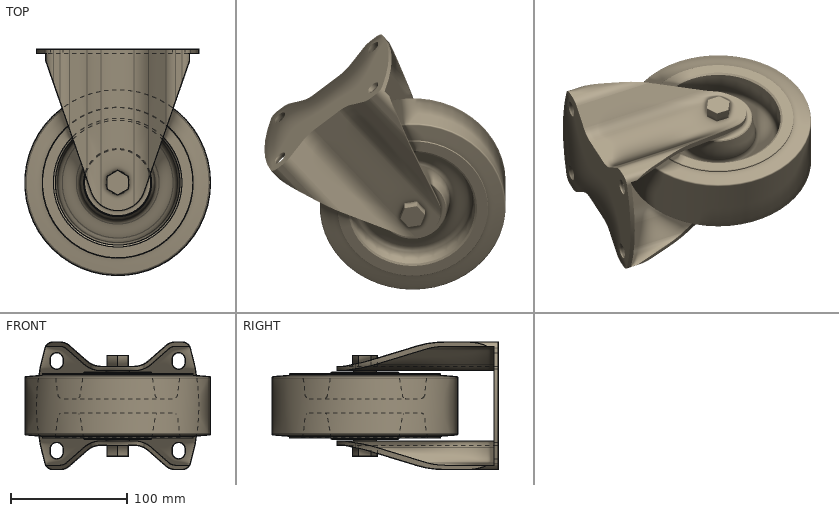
import cadquery as cq
import math


plate_top_y = 115.0
plate_thickness = 4.0
plate_half_width = 70.0
plate_half_height = 55.0
plate_end_half_width = 60.9
corner_radius = 7.5
slot_width = 11.0
slot_height = 14.0
slot_x = 52.5
slot_z = 38.6

sheet_thickness = 3.8
leg_inner_z = 30.2
leg_outer_z = leg_inner_z + sheet_thickness
trough_half_width = 14.2
lower_bend_radius = 18.5
upper_bend_radius = 12.3
flank_angle = math.radians(41.3)
leg_half_width = 62.0
taper_start_y = 105.0
tip_radius = 24.1

axle_diameter = 20.0
hex_across_flats = 18.5
hex_corner_angle = 30
hex_top_z = 43.5

wheel_radius = 80.0
tread_edge_z = 25.2
tread_edge_round = 1.3
rim_radius = 65.0
tread_inner_z = 26.3
rim_z = 27.8
rim_chamfer = 0.3
bowl_mouth_radius = 55.4
bowl_lip_radius = 53.7
bowl_lip_depth = 1.0
bowl_wall_foot_radius = 51.6
bowl_floor_radius = 47.7
bowl_floor_z = 6.0
hub_floor_radius = 35.7
hub_wall_foot_radius = 32.3
foot_fillet_height = 3.6
hub_top_radius = 29.3
hub_chamfer = 0.8
hub_z = 29.0


def bent_edge(sketch, offset):
    """Draw the +Z edge of the leg section from -X to +X, shifted inward by offset.

    Starts at the left end of the left crest and stops at the right end of the right one.
    """
    lower = lower_bend_radius + offset
    upper = upper_bend_radius - offset
    crest_z = plate_half_height - offset
    floor_z = leg_outer_z - offset
    sine = math.sin(flank_angle)
    cosine = math.cos(flank_angle)
    half_sine = math.sin(flank_angle / 2)
    half_cosine = math.cos(flank_angle / 2)

    bend_rise = (lower_bend_radius + upper_bend_radius) * (1 - cosine)
    flank_rise = plate_half_height - leg_outer_z - bend_rise
    flank_run = flank_rise / math.tan(flank_angle)
    crest_x = trough_half_width + (lower_bend_radius + upper_bend_radius) * sine + flank_run

    crest = (crest_x, crest_z)
    crest_mid = (crest_x - upper * half_sine, crest_z - upper * (1 - half_cosine))
    flank_top = (crest_x - upper * sine, crest_z - upper * (1 - cosine))
    flank_foot = (trough_half_width + lower * sine, floor_z + lower * (1 - cosine))
    floor_mid = (trough_half_width + lower * half_sine, floor_z + lower * (1 - half_cosine))
    floor = (trough_half_width, floor_z)

    def left(point):
        return (-point[0], point[1])

    return (
        sketch.lineTo(*left(crest))
        .threePointArc(left(crest_mid), left(flank_top))
        .lineTo(*left(flank_foot))
        .threePointArc(left(floor_mid), left(floor))
        .lineTo(*floor)
        .threePointArc(floor_mid, flank_foot)
        .lineTo(*flank_top)
        .threePointArc(crest_mid, crest)
    )


def xz_sketch():
    """Sketch plane at the outer plate face; extrusion runs toward -Y."""
    return cq.Workplane("XZ", origin=(0, plate_top_y, 0))


def bracket_blank(length):
    """Prism over the bowed rectangle with rounded corners that bounds plate and legs."""
    blank = (
        xz_sketch()
        .moveTo(-plate_end_half_width, plate_half_height)
        .lineTo(plate_end_half_width, plate_half_height)
        .threePointArc((plate_half_width, 0), (plate_end_half_width, -plate_half_height))
        .lineTo(-plate_end_half_width, -plate_half_height)
        .threePointArc((-plate_half_width, 0), (-plate_end_half_width, plate_half_height))
        .close()
        .extrude(length)
    )
    return blank.edges("|Y").fillet(corner_radius)


def trough_space(offset, length):
    """Space on the +Z side of the leg section shifted inward by offset."""
    side = 2 * plate_half_width
    ceiling = 2 * plate_half_height
    sketch = xz_sketch().moveTo(-side, ceiling).lineTo(-side, plate_half_height - offset)
    sketch = bent_edge(sketch, offset)
    return sketch.lineTo(side, plate_half_height - offset).lineTo(side, ceiling).close().extrude(length)


def make_plate():
    trough = trough_space(0, plate_thickness)
    slots = (
        xz_sketch()
        .pushPoints([(x, z) for x in (-slot_x, slot_x) for z in (-slot_z, slot_z)])
        .slot2D(slot_height, slot_width, 90)
        .extrude(plate_thickness)
    )
    return bracket_blank(plate_thickness).cut(trough).cut(trough.mirror("XY")).cut(slots)


def leg_outline():
    """Tapered outline in XY with sides tangent to the tip arc about the axle."""
    corner_distance = math.hypot(leg_half_width, taper_start_y)
    corner_angle = math.atan2(taper_start_y, leg_half_width)
    tangent_angle = corner_angle - math.acos(tip_radius / corner_distance)
    tangent_x = tip_radius * math.cos(tangent_angle)
    tangent_y = tip_radius * math.sin(tangent_angle)
    return (
        cq.Workplane("XY")
        .moveTo(-leg_half_width, plate_top_y)
        .lineTo(-leg_half_width, taper_start_y)
        .lineTo(-tangent_x, tangent_y)
        .threePointArc((0, -tip_radius), (tangent_x, tangent_y))
        .lineTo(leg_half_width, taper_start_y)
        .lineTo(leg_half_width, plate_top_y)
        .close()
        .extrude(plate_half_height)
    )


def make_leg():
    length = plate_top_y + tip_radius
    sheet = trough_space(sheet_thickness, length).cut(trough_space(0, length))
    return sheet.intersect(bracket_blank(length)).intersect(leg_outline())


def make_axle():
    axle = cq.Workplane("XY").circle(axle_diameter / 2).extrude(2 * leg_inner_z)
    return axle.translate((0, 0, -leg_inner_z))


def make_hex_head():
    corner_diameter = hex_across_flats / math.cos(math.pi / 6)
    head = (
        cq.Workplane("XY")
        .polygon(6, corner_diameter)
        .extrude(hex_top_z - leg_outer_z)
    )
    return head.rotate((0, 0, 0), (0, 0, 1), hex_corner_angle).translate((0, 0, leg_outer_z))


def make_half_wheel():
    """Upper half of the wheel, revolved from its radial section (radius, z)."""
    fillet_top_z = bowl_floor_z + foot_fillet_height
    return (
        cq.Workplane("XZ")
        .moveTo(0, 0)
        .lineTo(wheel_radius, 0)
        .lineTo(wheel_radius, tread_edge_z - tread_edge_round)
        .tangentArcPoint((wheel_radius - tread_edge_round, tread_edge_z), relative=False)
        .lineTo(rim_radius, tread_inner_z)
        .lineTo(rim_radius, rim_z - rim_chamfer)
        .lineTo(rim_radius - rim_chamfer, rim_z)
        .lineTo(bowl_mouth_radius, rim_z)
        .lineTo(bowl_lip_radius, rim_z - bowl_lip_depth)
        .lineTo(bowl_wall_foot_radius, fillet_top_z)
        .tangentArcPoint((bowl_floor_radius, bowl_floor_z), relative=False)
        .lineTo(hub_floor_radius, bowl_floor_z)
        .tangentArcPoint((hub_wall_foot_radius, fillet_top_z), relative=False)
        .lineTo(hub_top_radius, hub_z - hub_chamfer)
        .lineTo(hub_top_radius - hub_chamfer, hub_z)
        .lineTo(0, hub_z)
        .close()
        .revolve(360, (0, 0, 0), (0, 1, 0))
    )


upper_side = make_leg().union(make_hex_head())
half_wheel = make_half_wheel()
wheel = half_wheel.union(half_wheel.mirror("XY"))
bracket = make_plate().union(upper_side).union(upper_side.mirror("XY"))
result = bracket.union(make_axle()).union(wheel)